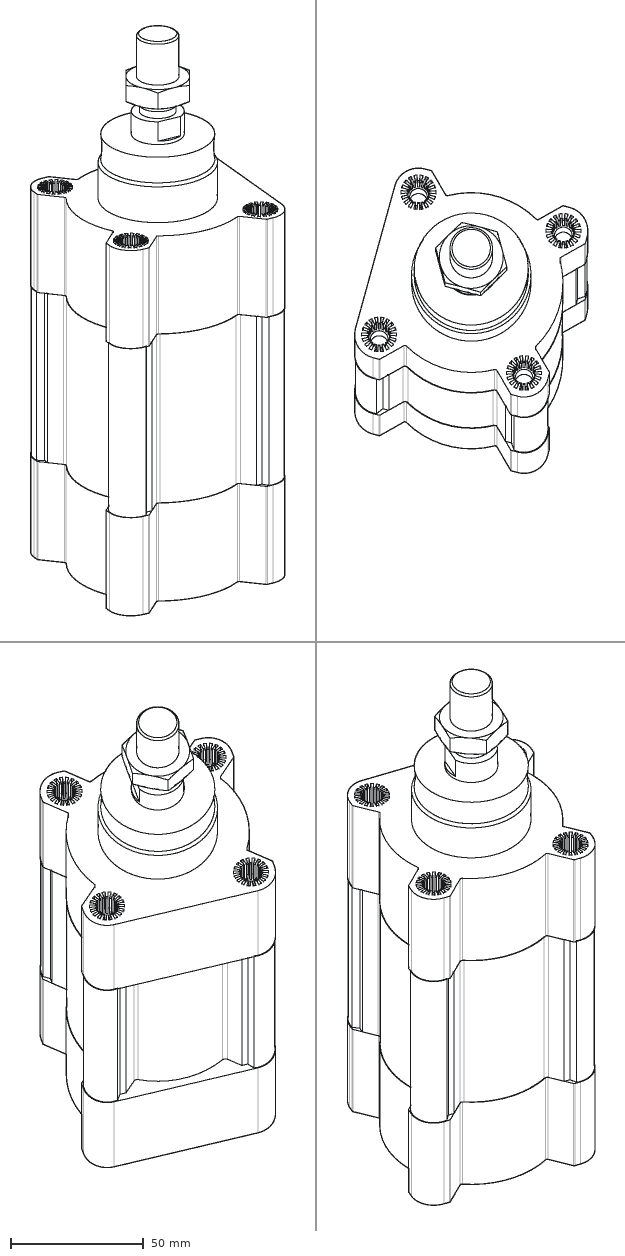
import cadquery as cq
import math


rear_collar_height = 4.0
end_cap_length = 40.6
barrel_length = 69.9
front_collar_length = 14.8
collar_taper_length = 1.2
wiper_ring_length = 10.6
total_length = 223.1

rear_cap_z = rear_collar_height
barrel_z = rear_cap_z + end_cap_length
front_cap_z = barrel_z + barrel_length
front_face_z = front_cap_z + end_cap_length
taper_z = front_face_z + front_collar_length
wiper_z = taper_z + collar_taper_length
housing_top_z = wiper_z + wiper_ring_length

cap_side = 75.0
screw_spacing = 56.5
screw_offset = screw_spacing / 2
cap_corner_radius = (cap_side - screw_spacing) / 2
cap_body_radius = 34.5
cap_leg_width = 16.8
barrel_body_radius = 34.3
barrel_corner_radius = 9.0
barrel_leg_width = 16.9
barrel_base_fillet = 1.5
cap_edge_fillet = 0.6
cap_base_fillet = 0.8
groove_floor_offset = 34.7
groove_inner_x = 25.1
groove_outer_x = 26.8

collar_diameter = 45.0
wiper_diameter = 43.0
wiper_waist_depth = 0.4
rear_collar_chamfer = 0.8

socket_slots = 18
slot_circle_diameter = 13.2
socket_bore_diameter = 8.0
socket_mouth_diameter = 8.8
socket_depth = 10.0
screw_hole_diameter = 6.65
screw_hole_depth = 20.0
drill_point_angle = 118.0

rod_diameter = 20.0
thread_diameter = 16.0
thread_length = 32.0
thread_chamfer = 0.8
flats_width = 17.4
flats_length = 8.0
neck_diameter = 13.9
neck_taper_height = 5.4
neck_length = 2.8
shoulder_z = total_length - thread_length

nut_width = 24.0
nut_height = 8.0
nut_z = 197.4
nut_face_diameter = 24.0
nut_chamfer_angle = 20.0


def flank_crossing(body_radius, flank_shift):
    """Smaller and larger coordinate of the point where a leg flank meets the round body."""
    half_shift = flank_shift / 2
    reach = math.sqrt(body_radius**2 / 2 - half_shift**2)
    return reach - half_shift, reach + half_shift


def fillet_legs(body, corner, radius):
    """Round the upright edges at one flank corner, mirrored onto both flanks of all four legs."""
    near, far = corner
    reach = 0.1
    for x, y in [(near, far), (far, near)]:
        for x_side in (-1, 1):
            for y_side in (-1, 1):
                edge_x, edge_y = x_side * x, y_side * y
                box = cq.selectors.BoxSelector(
                    (edge_x - reach, edge_y - reach, -1),
                    (edge_x + reach, edge_y + reach, total_length),
                )
                edges = body.edges("|Z").edges(box)
                if edges.size() > 0:
                    body = edges.fillet(radius)
    return body


def end_cap(base_z):
    """Round body with four rounded corner legs; the +Y side is filled flat between its legs."""
    half = cap_side / 2
    leg_inner = half - cap_leg_width / math.sqrt(2)
    body = cq.Workplane("XY").circle(cap_body_radius).extrude(end_cap_length)
    leg = (
        cq.Workplane("XY")
        .moveTo(0, 0)
        .lineTo(half - leg_inner, 0)
        .lineTo(half, leg_inner)
        .lineTo(half, screw_offset)
        .radiusArc((screw_offset, half), -cap_corner_radius)
        .lineTo(leg_inner, half)
        .lineTo(0, half - leg_inner)
        .close()
        .extrude(end_cap_length)
    )
    for quarter in range(4):
        body = body.union(leg.rotate((0, 0, 0), (0, 0, 1), 90 * quarter))
    flat_side = cq.Workplane("XY").rect(screw_spacing, half, centered=(True, False)).extrude(end_cap_length)
    body = body.union(flat_side)
    body = fillet_legs(body, flank_crossing(cap_body_radius, half - leg_inner), cap_base_fillet)
    body = fillet_legs(body, (leg_inner, half), cap_edge_fillet)
    return body.translate((0, 0, base_z))


def barrel():
    """Round tube section whose four legs carry a shallow groove along each flank."""
    leg_shift = barrel_leg_width / math.sqrt(2)
    groove_start_x = groove_floor_offset - leg_shift
    arc_drop = math.sqrt(barrel_corner_radius**2 - (screw_offset - groove_outer_x) ** 2)
    arc_end_y = screw_offset + arc_drop
    arc_middle = screw_offset + barrel_corner_radius / math.sqrt(2)
    body = cq.Workplane("XY").circle(barrel_body_radius).extrude(barrel_length)
    leg = (
        cq.Workplane("XY")
        .moveTo(0, 0)
        .lineTo(leg_shift, 0)
        .lineTo(groove_floor_offset, groove_start_x)
        .lineTo(groove_floor_offset, groove_inner_x)
        .lineTo(arc_end_y, groove_outer_x)
        .threePointArc((arc_middle, arc_middle), (groove_outer_x, arc_end_y))
        .lineTo(groove_inner_x, groove_floor_offset)
        .lineTo(groove_start_x, groove_floor_offset)
        .lineTo(0, leg_shift)
        .close()
        .extrude(barrel_length)
    )
    for quarter in range(4):
        body = body.union(leg.rotate((0, 0, 0), (0, 0, 1), 90 * quarter))
    body = fillet_legs(body, flank_crossing(barrel_body_radius, leg_shift), barrel_base_fillet)
    return body.translate((0, 0, barrel_z))


def rear_collar():
    collar = cq.Workplane("XY").circle(collar_diameter / 2).extrude(rear_collar_height)
    return collar.faces("<Z").chamfer(rear_collar_chamfer)


def front_collar():
    """Collar tapering to the slightly waisted wiper ring."""
    collar_radius = collar_diameter / 2
    wiper_radius = wiper_diameter / 2
    waist = (wiper_radius - wiper_waist_depth, (wiper_z + housing_top_z) / 2)
    return (
        cq.Workplane("XZ")
        .moveTo(0, front_face_z)
        .lineTo(collar_radius, front_face_z)
        .lineTo(collar_radius, taper_z)
        .lineTo(wiper_radius, wiper_z)
        .threePointArc(waist, (wiper_radius, housing_top_z))
        .lineTo(0, housing_top_z)
        .close()
        .revolve(360, (0, 0), (0, 1))
    )


def screw_socket():
    """Chamfered bore with radial slots around it and a drilled hole below, cut down from Z = 0."""
    slot_radius = slot_circle_diameter / 2
    bore_radius = socket_bore_diameter / 2
    mouth_radius = socket_mouth_diameter / 2
    points = []
    for slot in range(socket_slots):
        start_angle = 2 * math.pi * slot / socket_slots
        end_angle = start_angle + math.pi / socket_slots
        for radius, angle in [
            (bore_radius, start_angle),
            (slot_radius, start_angle),
            (slot_radius, end_angle),
            (bore_radius, end_angle),
        ]:
            points.append((radius * math.cos(angle), radius * math.sin(angle)))
    slots = cq.Workplane("XY").polyline(points).close().extrude(-socket_depth)
    bore = (
        cq.Workplane("XZ")
        .moveTo(0, 0)
        .lineTo(mouth_radius, 0)
        .lineTo(bore_radius, bore_radius - mouth_radius)
        .lineTo(bore_radius, -socket_depth)
        .lineTo(0, -socket_depth)
        .close()
        .revolve(360, (0, 0), (0, 1))
    )
    hole_radius = screw_hole_diameter / 2
    point_length = hole_radius / math.tan(math.radians(drill_point_angle / 2))
    hole = (
        cq.Workplane("XZ")
        .moveTo(0, 0)
        .lineTo(hole_radius, 0)
        .lineTo(hole_radius, -screw_hole_depth)
        .lineTo(0, -screw_hole_depth - point_length)
        .close()
        .revolve(360, (0, 0), (0, 1))
    )
    return slots.union(bore).union(hole)


def make_housing():
    housing = end_cap(rear_cap_z).union(barrel(), clean=False).union(end_cap(front_cap_z), clean=False)
    housing = housing.union(rear_collar()).union(front_collar())
    socket = screw_socket()
    for x in (-screw_offset, screw_offset):
        for y in (-screw_offset, screw_offset):
            housing = housing.cut(socket.translate((x, y, front_face_z)))
    return housing


def make_piston_rod():
    """Rod standing on the wiper ring: wrench flats, undercut neck and threaded end."""
    rod_radius = rod_diameter / 2
    thread_radius = thread_diameter / 2
    neck_radius = neck_diameter / 2
    rod = (
        cq.Workplane("XZ")
        .moveTo(0, housing_top_z)
        .lineTo(rod_radius, housing_top_z)
        .lineTo(rod_radius, shoulder_z)
        .lineTo(neck_radius, shoulder_z)
        .lineTo(neck_radius, shoulder_z + neck_length)
        .lineTo(thread_radius, shoulder_z + neck_taper_height)
        .lineTo(thread_radius, total_length - thread_chamfer)
        .lineTo(thread_radius - thread_chamfer, total_length)
        .lineTo(0, total_length)
        .close()
        .revolve(360, (0, 0), (0, 1))
    )
    flat_depth = (rod_diameter - flats_width) / 2
    for side in (-1, 1):
        flat = cq.Workplane("XY").box(flat_depth, rod_diameter, flats_length)
        flat_x = side * (flats_width + flat_depth) / 2
        rod = rod.cut(flat.translate((flat_x, 0, shoulder_z - flats_length / 2)))
    return rod


def make_nut():
    """Hexagon nut with two faces square to X and conical chamfers on both ends."""
    corner_radius = nut_width / math.sqrt(3)
    face_radius = nut_face_diameter / 2
    chamfer_height = (corner_radius - face_radius) * math.tan(math.radians(nut_chamfer_angle))
    hexagon = (
        cq.Workplane("XY")
        .polygon(6, 2 * corner_radius)
        .extrude(nut_height)
        .rotate((0, 0, 0), (0, 0, 1), 30)
    )
    envelope = (
        cq.Workplane("XZ")
        .moveTo(0, 0)
        .lineTo(face_radius, 0)
        .lineTo(corner_radius, chamfer_height)
        .lineTo(corner_radius, nut_height - chamfer_height)
        .lineTo(face_radius, nut_height)
        .lineTo(0, nut_height)
        .close()
        .revolve(360, (0, 0), (0, 1))
    )
    bore = cq.Workplane("XY").circle(thread_diameter / 2).extrude(nut_height)
    return hexagon.intersect(envelope).cut(bore).translate((0, 0, nut_z))


housing = make_housing()
piston_rod = make_piston_rod()
nut = make_nut()

result = cq.Compound.makeCompound([housing.val(), piston_rod.val(), nut.val()])